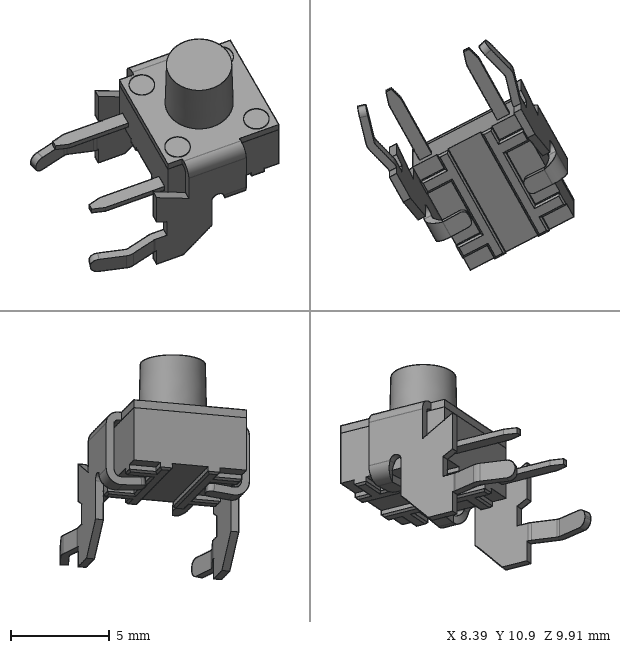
import cadquery as cq
import math


body_x = 6.0
body_y = 6.21
sheet = 0.42
base_top = -sheet
base_bottom = -3.23
foot_height = 0.35
foot_chamfer = 0.11
rail_inner_x = 0.95
rail_outer_x = 1.59
tab_inner_y = 1.57
tab_outer_y = 2.29

button_height = 3.1
button_base_d = 3.5
button_top_d = 3.33
rivet_d = 1.3
rivet_offset = 2.2
rivet_height = 0.03

pin_x = 2.25
pin_width = 0.71
pin_tip_width = 0.31
pin_top = -2.3
pin_thickness = 0.31
pin_shoulder_y = -6.42
pin_end_y = -7.1

bend_inner_r = 0.23
bend_mid_r = bend_inner_r + sheet / 2
bend_outer_r = bend_inner_r + sheet
leg_outer_x = 3.81
leg_mid_x = leg_outer_x - sheet / 2
strap_back_y = 0.91
strap_front_y = -2.3
strap_notch_z = -2.31
leg_front_y = -4.1
leg_peak_z = -1.3
leg_step_top_z = -3.32
leg_step_y = -3.53
leg_step_bottom_z = -3.62
leg_bottom_z = -6.81
leg_bottom_back_y = -2.61
leg_back_y = -1.0
leg_back_z = leg_bottom_z + leg_back_y - leg_bottom_back_y
relief_r = 0.33
relief_y = leg_back_y + relief_r
relief_z = -3.15

hook_start_z = -3.07
hook_outer_r = 0.8
hook_mid_r = hook_outer_r - sheet / 2
hook_angle = 95
hook_straight = 1.32
hook_tip_r = 0.3
hook_front_y = 0.02
bend_front_y = relief_y + math.sqrt(relief_r**2 - (hook_start_z - relief_z) ** 2)

tail_top = -4.71
tail_height = 1.0
tail_lead = 0.09
tail_angle = 15
tail_kink_r = 0.52
tail_out = 1.37
tail_back = 1.87
tail_tip_r = 0.45


def strip(plane, start, heading, moves):
    """Profile of a sheet strip, walked along its centre line.

    A move is a length (straight) or a pair (turn in degrees, centre-line radius).
    """
    half = sheet / 2

    def side(point, angle, offset):
        return (point[0] - offset * math.sin(angle), point[1] + offset * math.cos(angle))

    point = start
    angle = math.radians(heading)
    stations = [(point, angle)]
    middles = []
    for move in moves:
        if isinstance(move, tuple):
            turn = math.radians(move[0])
            radius = math.copysign(move[1], turn)
            centre = side(point, angle, radius)
            middles.append((side(centre, angle + turn / 2, -radius), angle + turn / 2))
            angle += turn
            point = side(centre, angle, -radius)
        else:
            middles.append(None)
            point = (point[0] + move * math.cos(angle), point[1] + move * math.sin(angle))
        stations.append((point, angle))

    def draw(outline, middle, station, offset):
        if middle is None:
            return outline.lineTo(*side(*station, offset))
        return outline.threePointArc(side(*middle, offset), side(*station, offset))

    outline = cq.Workplane(plane).moveTo(*side(*stations[0], half))
    for middle, station in zip(middles, stations[1:]):
        outline = draw(outline, middle, station, half)
    outline = outline.lineTo(*side(*stations[-1], -half))
    for middle, station in zip(reversed(middles), reversed(stations[:-1])):
        outline = draw(outline, middle, station, -half)
    return outline.close()


def block(x0, x1, y0, y1, z0, z1):
    """Box between two corners."""
    return cq.Workplane("XY").box(x1 - x0, y1 - y0, z1 - z0, centered=False).translate((x0, y0, z0))


def make_rivet_posts():
    """Four posts that rise from the base through the cover."""
    spots = [(sx * rivet_offset, sy * rivet_offset) for sx in (-1, 1) for sy in (-1, 1)]
    posts = cq.Workplane("XY").workplane(offset=base_top).pushPoints(spots).circle(rivet_d / 2)
    return posts.extrude(rivet_height - base_top)


def make_button():
    """Tapered button standing on the base."""
    half_profile = [
        (0, base_top),
        (button_base_d / 2, base_top),
        (button_top_d / 2, button_height),
        (0, button_height),
    ]
    return cq.Workplane("XZ").polyline(half_profile).close().revolve(360, (0, 0), (0, 1))


def make_foot():
    """Rail along Y with two tabs reaching to the -X side, chamfered underneath."""
    foot_bottom = base_bottom - foot_height
    foot = block(-rail_outer_x, -rail_inner_x, -body_y / 2, body_y / 2, foot_bottom, base_bottom)
    for y0 in (-tab_outer_y, tab_inner_y):
        y1 = y0 + tab_outer_y - tab_inner_y
        foot = foot.union(block(-body_x / 2, -rail_outer_x, y0, y1, foot_bottom, base_bottom))
    return foot.faces("<Z").chamfer(foot_chamfer)


def make_body():
    """Base with its feet, the button and the rivet posts in one piece."""
    base = block(-body_x / 2, body_x / 2, -body_y / 2, body_y / 2, base_bottom, base_top)
    foot = make_foot()
    base = base.union(foot).union(foot.mirror("YZ"))
    return base.union(make_button()).union(make_rivet_posts())


def make_leg():
    """Flat side wall at -X, below the top bend."""
    relief_top = (relief_y, relief_z + relief_r)
    return (
        cq.Workplane("YZ")
        .workplane(offset=-leg_outer_x)
        .moveTo(strap_back_y, -bend_outer_r)
        .lineTo(strap_front_y, -bend_outer_r)
        .lineTo(strap_front_y, strap_notch_z)
        .lineTo(leg_front_y, leg_peak_z)
        .lineTo(leg_front_y, leg_step_top_z)
        .lineTo(leg_step_y, leg_step_bottom_z)
        .lineTo(leg_step_y, tail_top)
        .lineTo(leg_front_y, tail_top)
        .lineTo(leg_front_y, leg_bottom_z)
        .lineTo(leg_bottom_back_y, leg_bottom_z)
        .lineTo(leg_back_y, leg_back_z)
        .lineTo(leg_back_y, relief_z)
        .threePointArc(relief_top, (bend_front_y, hook_start_z))
        .lineTo(strap_back_y, hook_start_z)
        .close()
        .extrude(sheet)
    )


def make_top_bend():
    """Strap from the plate edge over the bend to the top of the leg."""
    strap = leg_outer_x - bend_outer_r - body_x / 2
    profile = strip("XZ", (-body_x / 2, -sheet / 2), 180, [strap, (90, bend_mid_r)])
    return profile.extrude(strap_back_y - strap_front_y).translate((0, strap_back_y, 0))


def make_hook():
    """Tongue curled under the base: it narrows steadily around the bend and has a rounded tip."""
    start = (-leg_mid_x, hook_start_z)
    bend_move = (hook_angle, hook_mid_r)
    tongue = strip("XZ", start, 270, [bend_move, hook_straight]).extrude(strap_back_y - hook_front_y)
    tongue = tongue.translate((0, strap_back_y, 0))
    tongue = tongue.faces(">X").edges("not |Y").fillet(hook_tip_r)

    taper = hook_front_y - bend_front_y
    reach = 2 * hook_outer_r
    turning_half = (
        cq.Workplane("XZ")
        .transformed(rotate=(0, 0, hook_angle))
        .center(0, reach / 2)
        .rect(2 * reach, reach)
        .center(0, -reach / 2)
        .twistExtrude(taper, -hook_angle)
        .translate((start[0] + hook_mid_r, hook_front_y, hook_start_z))
    )
    taper_bend = strip("XZ", start, 270, [bend_move]).extrude(taper).translate((0, hook_front_y, 0))
    return tongue.union(taper_bend.intersect(turning_half))


def make_tail():
    """Kinked tail with a rounded tip."""
    moves = [
        tail_lead,
        (-tail_angle, bend_mid_r),
        tail_out,
        (2 * tail_angle, tail_kink_r),
        tail_back,
    ]
    profile = strip("XY", (-leg_mid_x, leg_front_y), 270, moves)
    tail = profile.extrude(-tail_height).translate((0, 0, tail_top))
    return tail.faces("<Y").edges("not |Z").fillet(tail_tip_r)


def make_cover():
    """Sheet-metal plate with a bracket on each side, fitted around the button and rivet posts."""
    bracket = make_leg().union(make_top_bend()).union(make_hook()).union(make_tail())
    plate = block(-body_x / 2, body_x / 2, -body_y / 2, body_y / 2, base_top, 0)
    cover = plate.union(bracket).union(bracket.mirror("YZ"))
    return cover.cut(make_button()).cut(make_rivet_posts())


def make_pin(x):
    """Flat terminal with a tapered tip, butting against the front of the base."""
    right_side = [
        (pin_width / 2, -body_y / 2),
        (pin_width / 2, pin_shoulder_y),
        (pin_tip_width / 2, pin_end_y),
    ]
    left_side = [(-px, py) for px, py in reversed(right_side)]
    pin = cq.Workplane("XY").polyline(right_side + left_side).close().extrude(-pin_thickness)
    return pin.translate((x, 0, pin_top))


body = make_body()
cover = make_cover()
pins = [make_pin(x) for x in (-pin_x, pin_x)]

result = cq.Compound.makeCompound([body.val(), cover.val(), *[pin.val() for pin in pins]])